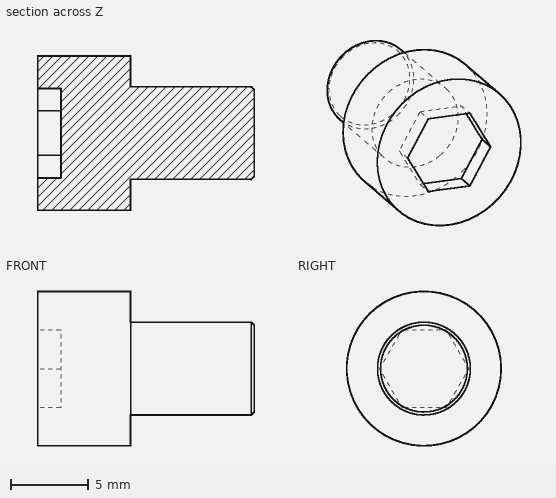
import cadquery as cq
import math

total_length = 14.0
head_diameter = 10.0
head_length = 6.0
shank_diameter = 6.0
tip_chamfer = 0.2
socket_across_flats = 5.0
socket_depth = 1.5

shank_length = total_length - head_length
socket_across_corners = socket_across_flats / math.cos(math.pi / 6)

head = cq.Workplane("YZ").circle(head_diameter / 2).extrude(head_length)

shank = (
    cq.Workplane("YZ", origin=(head_length, 0, 0))
    .circle(shank_diameter / 2)
    .extrude(shank_length)
    .faces(">X")
    .chamfer(tip_chamfer)
)

socket = cq.Workplane("YZ").polygon(6, socket_across_corners).extrude(socket_depth)

result = head.union(shank).cut(socket)